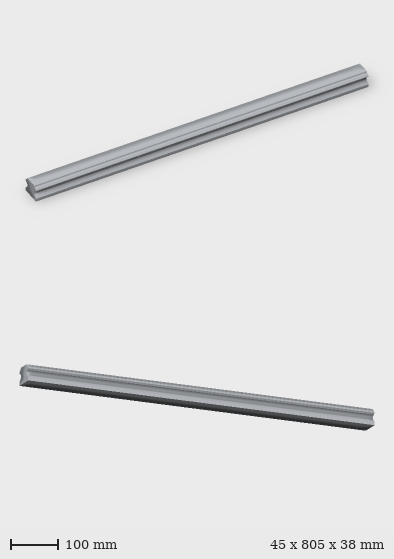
import cadquery as cq

length = 805.0
width = 45.0
height = 38.0
half_width = width / 2

head_half = 15.0
top_chamfer = 1.05

lip_middle_z = 28.0
lip_tip_height = 2.0
lip_flank = 3.5
lip_top_z = lip_middle_z + lip_tip_height / 2
lip_bottom_z = lip_middle_z - lip_tip_height / 2
lip_root_half = half_width - lip_flank

track_radius = 4.4

neck_half = 14.5
neck_top_z = 19.0
neck_bottom_z = 15.0
base_top_z = neck_bottom_z - (half_width - neck_half)


def half_profile():
    """Right half of the cross-section, closed along the middle plane."""
    return (
        cq.Workplane("XZ")
        .moveTo(0, 0)
        .lineTo(half_width, 0)
        .lineTo(half_width, base_top_z)
        .lineTo(neck_half, neck_bottom_z)
        .lineTo(neck_half, neck_top_z)
        .radiusArc((lip_root_half, lip_bottom_z - lip_flank), track_radius)
        .lineTo(half_width, lip_bottom_z)
        .lineTo(half_width, lip_top_z)
        .lineTo(lip_root_half, lip_top_z + lip_flank)
        .radiusArc((head_half, height - top_chamfer), track_radius)
        .lineTo(head_half - top_chamfer, height)
        .lineTo(0, height)
        .close()
    )


half_rail = half_profile().extrude(length / 2, both=True)
result = half_rail.union(half_rail.mirror("YZ")).clean()